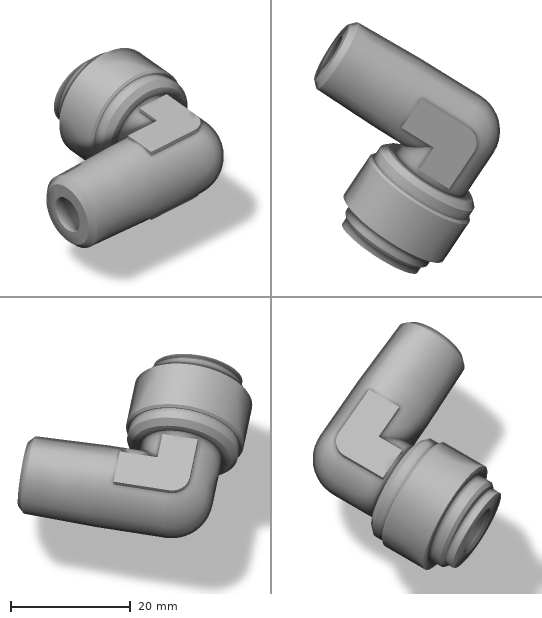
import cadquery as cq

overall_x = 31.4
overall_y = 35.2
pipe_radius = 6.9
bore_radius = 3.17

body_radius = 10.0
collet_end = pipe_radius - overall_x
ring_start = -22.85
ring_radius = 8.2
ring_chamfer = 0.55
body_start = -20.05
body_chamfer = 0.4
flange_start = -11.65
flange_radius = 9.4
flange_end = -8.75
flange_chamfer = 1.0

collet_half_width = 7.55
collet_half_height = 6.05
collet_face_drop = 0.15
tube_radius = 3.98
mouth_radius = 4.35
mouth_depth = mouth_radius - tube_radius
tube_stop = flange_start

spigot_end = body_radius - overall_y
taper_start = -11.97
taper_end_radius = 6.55
spigot_chamfer = 1.05

pad_half_width = 3.0
pad_half_height = 7.1
pad_socket_end = -7.65
pad_spigot_end = -9.4


def revolve_x(*profile):
    """Solid of revolution about X from (x, radius) points, closed along the axis."""
    first_x = profile[0][0]
    last_x = profile[-1][0]
    outline = cq.Workplane("XY").polyline([(first_x, 0), *profile, (last_x, 0)]).close()
    return outline.revolve(360, (0, 0, 0), (1, 0, 0))


def revolve_y(*profile):
    """Solid of revolution about Y from (radius, y) points, closed along the axis."""
    first_y = profile[0][1]
    last_y = profile[-1][1]
    outline = cq.Workplane("XY").polyline([(0, first_y), *profile, (0, last_y)]).close()
    return outline.revolve(360, (0, 0, 0), (0, 1, 0))


def make_socket():
    return revolve_x(
        (ring_start, ring_radius - ring_chamfer),
        (ring_start + ring_chamfer, ring_radius),
        (body_start, ring_radius),
        (body_start, body_radius),
        (flange_start - body_chamfer, body_radius),
        (flange_start, body_radius - body_chamfer),
        (flange_start, flange_radius),
        (flange_end - flange_chamfer, flange_radius),
        (flange_end, flange_radius - flange_chamfer),
        (flange_end, pipe_radius),
        (0, pipe_radius),
    )


def make_collet():
    """Oval cylinder whose end face slopes back slightly from the mouth to the rim."""
    oval = (
        cq.Workplane("YZ", origin=(collet_end, 0, 0))
        .ellipse(collet_half_width, collet_half_height)
        .extrude(body_start - collet_end)
    )
    sloped_face = revolve_x(
        (collet_end, mouth_radius),
        (collet_end + collet_face_drop, collet_half_width),
        (body_start, collet_half_width),
    )
    return oval.intersect(sloped_face)


def make_spigot():
    return revolve_y(
        (pipe_radius, 0),
        (pipe_radius, taper_start),
        (taper_end_radius, spigot_end + spigot_chamfer),
        (taper_end_radius - spigot_chamfer, spigot_end),
    )


def make_pads():
    """L-shaped prism through the elbow; its two ends stand out as raised flats."""
    return (
        cq.Workplane("XY", origin=(0, 0, -pad_half_height))
        .moveTo(pad_socket_end, pad_half_width)
        .lineTo(0, pad_half_width)
        .radiusArc((pad_half_width, 0), pad_half_width)
        .lineTo(pad_half_width, pad_spigot_end)
        .lineTo(-pad_half_width, pad_spigot_end)
        .lineTo(-pad_half_width, -pad_half_width)
        .lineTo(pad_socket_end, -pad_half_width)
        .close()
        .extrude(2 * pad_half_height)
    )


def make_bore():
    """Stepped tube bore meeting the spigot bore at a rounded elbow."""
    tube_bore = revolve_x(
        (collet_end, mouth_radius),
        (collet_end + mouth_depth, tube_radius),
        (tube_stop, tube_radius),
        (tube_stop, bore_radius),
        (0, bore_radius),
    )
    spigot_bore = revolve_y((bore_radius, 0), (bore_radius, spigot_end))
    elbow_bore = cq.Workplane("XY").sphere(bore_radius)
    return tube_bore.union(spigot_bore).union(elbow_bore)


elbow = cq.Workplane("XY").sphere(pipe_radius)
outside = make_socket().union(make_spigot()).union(elbow).union(make_pads()).union(make_collet())
result = outside.cut(make_bore())